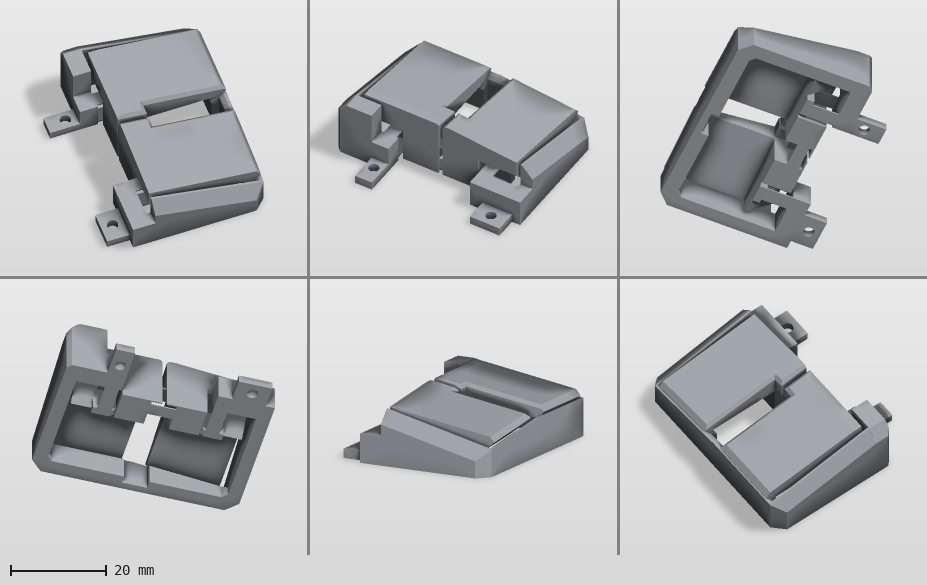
import cadquery as cq

case_half_width = 22.5
case_depth = 30.0
case_height = 13.7
side_wall = 2.95
back_wall = 3.3
inner_half_width = case_half_width - side_wall
inner_back = case_depth - back_wall
front_block_depth = 4.0
low_block_height = 6.3

back_corner_chamfer = 2.5
inner_corner_chamfer = 1.12
front_corner_chamfer = 1.0
shoulder_chamfer = 2.5
top_land = 0.55

left_case_bend = 3.9
left_case_back_height = 8.25
left_case_fall = (case_height - left_case_back_height) / (case_depth - left_case_bend)
left_tall_block_end = 13.85
left_low_block_end = 9.7

right_block_start = 10.2
right_wall_front = 5.0
right_case_mid_front_height = 13.95
right_case_mid_back_height = 8.15
right_case_drop = right_case_mid_front_height - right_case_mid_back_height
right_case_fall = right_case_drop / (case_depth - right_wall_front)

tab_height = 2.0
tab_hole_diameter = 2.4
tab_hole_setback = 2.5
left_tab_width = 4.1
left_tab_length = 6.65
right_tab_start = 13.28
right_tab_width = 7.25
right_tab_length = 5.05

button_front = 5.0
button_outer = 18.6
button_inner = 0.5
button_fall = 0.15
button_underside = 7.65
button_lip_bottom = 8.1
left_button_bend = 6.9
right_button_level_x = 2.25
right_button_outer_height = 11.85
right_fall = (case_height - right_button_outer_height) / (button_outer - right_button_level_x)
wheel_slot_half_width = 2.75
wheel_slot_front = 11.55
wheel_slot_back = 28.45
button_edge_chamfer = 0.7
button_back_chamfer = 1.1
button_tail_edge = 9.05
stem_outer = 9.22
stem_face_thickness = 0.3
neck_underside = 8.4
arm_pocket_outer = 14.18
arm_pocket_back = 10.0
arm_pocket_top = 7.25

strip_thickness = 0.338
strip_bottoms = (0.0, low_block_height - strip_thickness)
arm_inner = 10.2
arm_outer = 13.28
bridge_front = 6.08
bridge_back = 8.75

space = 135.0


def box(x0, x1, y0, y1, z0, z1):
    """Box between two opposite corners."""
    size = (x1 - x0, y1 - y0, z1 - z0)
    return cq.Workplane("XY").box(*size, centered=False).translate((x0, y0, z0))


def above(point, slope_x, slope_y):
    """Space above the plane through a point that climbs at the given slopes."""
    plane = cq.Plane(origin=point, xDir=(1, 0, slope_x), normal=(-slope_x, -slope_y, 1))
    return cq.Workplane(plane).rect(space, space).extrude(space)


def mirrored(body):
    """The same body on the other side of the YZ plane."""
    return body.mirror("YZ")


def case_wall(front, top_point, slope_x, slope_y):
    """Right-hand side wall with half of the back wall, below a sloping top."""
    corner_x = case_half_width - back_corner_chamfer
    corner_y = case_depth - back_corner_chamfer
    wall = (
        cq.Workplane("XY")
        .moveTo(0, case_depth)
        .lineTo(corner_x, case_depth)
        .lineTo(case_half_width, corner_y)
        .lineTo(case_half_width, front)
        .lineTo(inner_half_width, front)
        .lineTo(inner_half_width, inner_back - inner_corner_chamfer)
        .lineTo(inner_half_width - inner_corner_chamfer, inner_back)
        .lineTo(0, inner_back)
        .close()
        .extrude(case_height)
    )
    px, py, pz = top_point

    def top_at(x, y):
        return (x, y, pz + slope_x * (x - px) + slope_y * (y - py))

    wall = wall.cut(above(top_point, slope_x, slope_y))

    shoulder = top_at(case_half_width - shoulder_chamfer, py)
    wall = wall.cut(above(shoulder, slope_x - 1, slope_y))

    land = above(top_at(0, case_depth), slope_x, 0)
    wall = wall.cut(land.intersect(box(0, inner_half_width, inner_back, case_depth, 0, space)))

    ramp = above(top_at(0, case_depth - top_land), slope_x, 1)
    wall = wall.cut(ramp.intersect(box(0, inner_half_width, 0, case_depth, 0, space)))

    return wall.cut(box(0, wheel_slot_half_width, 0, wheel_slot_back, 0, space))


def tab(x0, width, length):
    """Flat tab with a screw hole, standing out of the front face."""
    plate = box(x0, x0 + width, -length, 0, 0, tab_height)
    hole = cq.Workplane("XY").circle(tab_hole_diameter / 2).extrude(tab_height)
    return plate.cut(hole.translate((x0 + width / 2, -tab_hole_setback, 0)))


def left_case():
    """Left wall, front block and tab."""
    wall = case_wall(0, (0, left_case_bend, case_height), 0, -left_case_fall)
    tall_block = box(left_tall_block_end, case_half_width, 0, front_block_depth, 0, case_height)
    shoulder_x = case_half_width - shoulder_chamfer
    body = wall.union(tall_block).cut(above((shoulder_x, 0, case_height), -1, 0))
    body = body.edges("|Z and >X and <Y").chamfer(front_corner_chamfer)
    low_block = box(left_low_block_end, left_tall_block_end, 0, front_block_depth, 0, low_block_height)
    body = body.union(low_block).union(tab(left_low_block_end, left_tab_width, left_tab_length))
    return mirrored(body)


def right_case():
    """Right wall, low front block and tab."""
    top_point = (0, case_depth, right_case_mid_back_height)
    wall = case_wall(right_wall_front, top_point, -right_fall, -right_case_fall)
    block = box(right_block_start, case_half_width, 0, front_block_depth, 0, low_block_height)
    wall_foot = box(inner_half_width, case_half_width, 0, right_wall_front, 0, low_block_height)
    body = wall.union(block).union(wall_foot)
    return body.union(tab(right_tab_start, right_tab_width, right_tab_length))


def button_blank(slope_x):
    """Key plate with its front stem, before the top is shaped."""
    plate = box(button_inner, button_outer, button_front, case_depth, 0, case_height)
    slot = box(0, wheel_slot_half_width, wheel_slot_front, case_depth, 0, space)
    plate = plate.cut(slot)

    plate = plate.intersect(above((wheel_slot_half_width, 0, button_underside), slope_x, 0))
    plate = plate.intersect(above((wheel_slot_half_width, case_depth, button_tail_edge), slope_x, 1))

    block = box(wheel_slot_half_width, button_outer, button_front, wheel_slot_front, 0, button_underside)
    face_back = button_front + stem_face_thickness
    face = box(button_inner, stem_outer, button_front, face_back, 0, button_lip_bottom)
    body = plate.union(block).union(face)

    lip_slope = above((0, button_front, button_lip_bottom), 0, -1)
    beside_pocket = box(arm_pocket_outer, button_outer, 0, wheel_slot_front, 0, case_height)
    over_pocket = box(stem_outer, arm_pocket_outer, 0, arm_pocket_back, 0, case_height)
    body = body.cut(beside_pocket.union(over_pocket).cut(lip_slope))

    body = body.cut(box(stem_outer, arm_pocket_outer, 0, arm_pocket_back, 0, arm_pocket_top))

    body = body.cut(box(0, wheel_slot_half_width, face_back, wheel_slot_front, 0, neck_underside))

    relief = box(stem_outer, arm_inner, arm_pocket_back, wheel_slot_front, 0, arm_inner - stem_outer)
    return body.cut(relief.cut(above((arm_inner, 0, 0), -1, 0)))


def button(level_point, slope_x):
    """Button for the +X side whose top falls towards the back from the level point."""
    lx, ly, lz = level_point

    def top_at(x, y):
        return (x, y, lz + slope_x * (x - lx) - button_fall * (y - ly))

    body = button_blank(slope_x).cut(above(level_point, slope_x, -button_fall))

    back = top_at(0, case_depth - button_back_chamfer)
    gap = top_at(button_inner + button_edge_chamfer, 0)
    slot_side = top_at(wheel_slot_half_width + button_edge_chamfer, 0)
    slot_front = top_at(0, wheel_slot_front - button_edge_chamfer)
    body = body.cut(above(back, slope_x, -1 - button_fall))
    body = body.cut(above(gap, slope_x + 1, -button_fall))
    slot_bevel = above(slot_side, slope_x + 1, -button_fall)
    return body.cut(slot_bevel.intersect(above(slot_front, slope_x, -1 - button_fall)))


def strips():
    """Arms carrying the buttons and the bridge joining the two stems."""
    body = cq.Workplane("XY")
    for z in strip_bottoms:
        top = z + strip_thickness
        arm = box(arm_inner, arm_outer, front_block_depth, arm_pocket_back, z, top)
        bridge = box(-wheel_slot_half_width, wheel_slot_half_width, bridge_front, bridge_back, z, top)
        body = body.union(arm).union(mirrored(arm)).union(bridge)
    return body


left_button = mirrored(button((0, left_button_bend, case_height), 0))
right_button = button((right_button_level_x, button_front, case_height), -right_fall)
result = left_case().union(right_case()).union(left_button).union(right_button).union(strips())